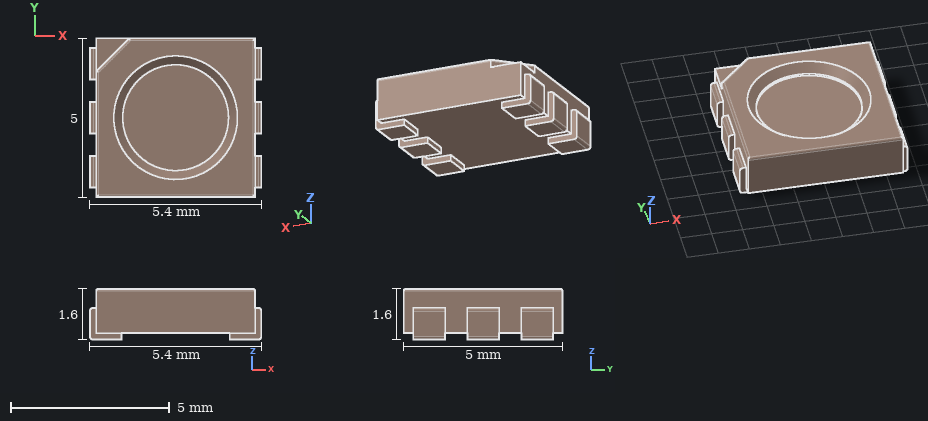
import cadquery as cq

body_size = 5.0
total_height = 1.6
top_edge_radius = 0.07

notch_leg = 1.04
notch_depth = 0.28

floor_diameter = body_size / 1.5
rim_width = 0.28
rim_depth = 0.28
well_depth = 0.07

lead_thickness = 0.2
lead_width = 1.0
lead_height = 1.0
foot_length = 1.0
lead_bend_radius = 0.1
leads_per_side = 3
end_margin = 0.3

half_body = body_size / 2
lead_pitch = (body_size - 2 * end_margin - lead_width) / (leads_per_side - 1)


def make_housing():
    """Block with a notched corner and rounded edges around its five-sided top face."""
    housing = (
        cq.Workplane("XY")
        .workplane(offset=lead_thickness)
        .rect(body_size, body_size)
        .extrude(total_height - lead_thickness)
    )
    notch = (
        cq.Workplane("XY")
        .workplane(offset=total_height - notch_depth)
        .moveTo(-half_body, half_body)
        .lineTo(-half_body, half_body - notch_leg)
        .lineTo(-half_body + notch_leg, half_body)
        .close()
        .extrude(notch_depth)
    )
    return housing.cut(notch).faces(">Z").edges().fillet(top_edge_radius)


def make_cup():
    """Volume removed for the cup, revolved about the Z axis."""
    floor_radius = floor_diameter / 2
    rim_bottom = total_height - rim_depth
    floor_level = rim_bottom - well_depth
    return (
        cq.Workplane("XZ")
        .moveTo(0, floor_level)
        .lineTo(floor_radius, floor_level)
        .lineTo(floor_radius, rim_bottom)
        .lineTo(floor_radius + rim_width, total_height)
        .lineTo(0, total_height)
        .close()
        .revolve(360, (0, 0, 0), (0, 1, 0))
    )


def make_lead(y_center):
    """L-shaped lead on the -X side, folded under the housing."""
    outer_x = -half_body - lead_thickness
    lead = (
        cq.Workplane("XZ", origin=(0, y_center, 0))
        .moveTo(outer_x, 0)
        .lineTo(outer_x + foot_length, 0)
        .lineTo(outer_x + foot_length, lead_thickness)
        .lineTo(-half_body, lead_thickness)
        .lineTo(-half_body, lead_height)
        .lineTo(outer_x, lead_height)
        .close()
        .extrude(lead_width / 2, both=True)
    )
    return lead.faces("<X").edges("|Y").fillet(lead_bend_radius)


result = make_housing().cut(make_cup())
for index in range(leads_per_side):
    y_center = (index - (leads_per_side - 1) / 2) * lead_pitch
    lead = make_lead(y_center)
    result = result.union(lead).union(lead.mirror("YZ"))